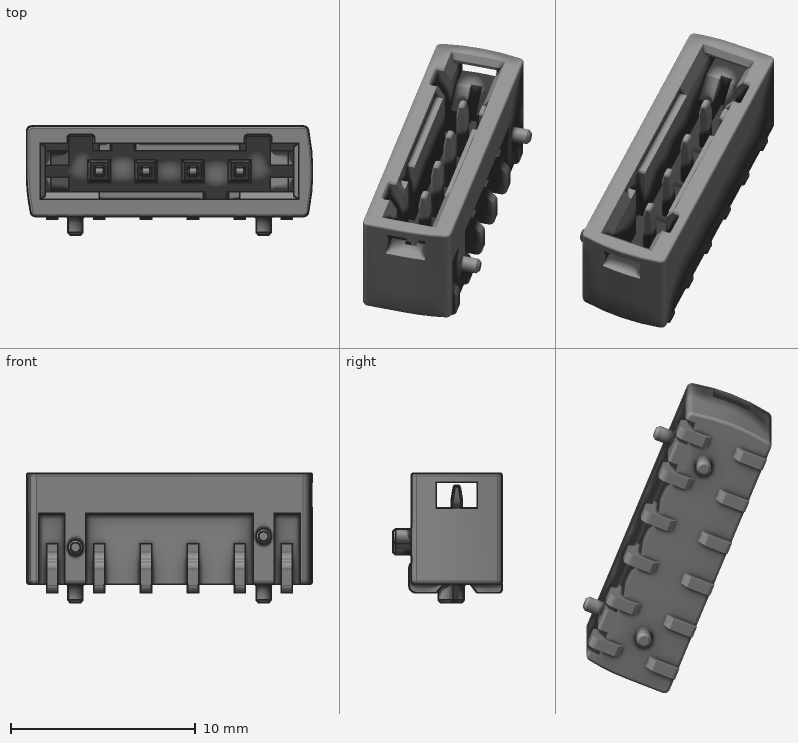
import cadquery as cq
import math


length = 15.46
depth = 4.9
height = 6.0
end_bulge = 0.26
corner_radius = 0.31
top_rim_radius = 0.12
bottom_rim_radius = 0.19
half_length = length / 2
half_depth = depth / 2

cavity_half_length = 6.71
cavity_half_width = 1.1
floor_z = 1.5
lead_in_side = 0.42
lead_in_side_depth = 0.68
lead_in_end = 0.28
lead_in_end_depth = 0.31
mouth_half_width = cavity_half_width + lead_in_side
shelf_z = height - 0.55
flare = 0.1

latch_x = 4.8
latch_width = 1.3
latch_reach = 1.9
slot_corner_radius = 0.11

key_x = 2.52
key_width = 1.2

window_bottom = 4.13
window_top = 5.5
guide_flat = 0.28
guide_inner_x = latch_x + latch_width / 2
guide_gap = 0.65
guide_slope_drop = 0.99

pitch = 2.54
pin_count = 4
tail_count = 6
contact_width = 0.6
pin_tip_z = 5.36
pin_shoulder_z = 5.25
pin_taper_z = 4.55
pin_tip_half_width = 0.19
pin_bevel = 0.1
collar_base = 1.24
collar_top = 0.91
collar_height = (collar_base - collar_top) / 2

tail_bottom = -0.46
tail_overhang = 0.14
tail_bend_radius = 0.53
tail_bend_angle = 45
tail_ramp_height = 0.19
tail_step_z = 0.83
tail_top = 2.2
tail_corner_radius = 0.4
tail_inner_y = 0.73
tail_toe_y = 1.1
back_tail_corner_radius = 0.2
embed = 0.15

recess_depth = 0.62
recess_top = 3.83
recess_fillet = 0.2
recess_half_length = 7.07
rib_x = 5.09
rib_width = 1.15

post_radius = 0.4
post_length = 1.0
post_chamfer_radial = 0.14
post_chamfer_axial = 0.15
post_root_radius = 0.11
post_offset = 0.6
low_side_post_z = 2.0


def box(x0, x1, y0, y1, z0, z1):
    return cq.Workplane("XY").box(x1 - x0, y1 - y0, z1 - z0, centered=False).translate((x0, y0, z0))


def extrude_along_x(profile, x0, x1):
    """Extrude a closed profile, drawn on the YZ plane, from x0 to x1."""
    return profile.extrude(x1 - x0).translate((x0, 0, 0))


def row(count):
    return [pitch * (i - (count - 1) / 2) for i in range(count)]


def make_housing():
    end_radius = (half_depth**2 + end_bulge**2) / (2 * end_bulge)
    corner_x = half_length - end_bulge
    mid_y = -half_depth / 2
    mid_x = half_length - end_radius + math.sqrt(end_radius**2 - mid_y**2)
    outline = (
        cq.Workplane("XY")
        .moveTo(-half_length, half_depth)
        .lineTo(-half_length, 0)
        .threePointArc((-mid_x, mid_y), (-corner_x, -half_depth))
        .lineTo(corner_x, -half_depth)
        .threePointArc((half_length, 0), (corner_x, half_depth))
        .close()
    )
    block = outline.extrude(height)
    block = block.faces("<Y or >Y").edges("|Z").fillet(corner_radius)
    block = block.faces(">Z").edges().fillet(top_rim_radius)
    return block.faces("<Z").edges().fillet(bottom_rim_radius)


def make_cavity():
    mouth_half_length = cavity_half_length + lead_in_end
    side_bottom_z = height - lead_in_side_depth
    side_profile = (
        cq.Workplane("YZ")
        .moveTo(-cavity_half_width, floor_z)
        .lineTo(-cavity_half_width, side_bottom_z)
        .lineTo(-mouth_half_width, height)
        .lineTo(mouth_half_width, height)
        .lineTo(cavity_half_width, side_bottom_z)
        .lineTo(cavity_half_width, floor_z)
        .close()
    )
    end_bottom_z = height - lead_in_end_depth
    end_profile = (
        cq.Workplane("XZ")
        .moveTo(-cavity_half_length, floor_z)
        .lineTo(-cavity_half_length, end_bottom_z)
        .lineTo(-mouth_half_length, height)
        .lineTo(mouth_half_length, height)
        .lineTo(cavity_half_length, end_bottom_z)
        .lineTo(cavity_half_length, floor_z)
        .close()
    )
    flared = extrude_along_x(side_profile, -mouth_half_length, mouth_half_length)
    flared = flared.intersect(end_profile.extrude(mouth_half_width, both=True))
    shelf_end = (pin_count - 1) * pitch / 2
    shelf_zone = box(-shelf_end, shelf_end, -half_depth, half_depth, floor_z, height)
    straight = box(-shelf_end, shelf_end, -cavity_half_width, cavity_half_width, floor_z, height)
    shelf = box(-shelf_end, shelf_end, -mouth_half_width, mouth_half_width, shelf_z, height)
    return flared.cut(shelf_zone).union(straight).union(shelf)


def make_slot(x, width, reach):
    """Vertical slot from Y = 0 to y = reach, open at the top, with rounded far corners."""
    return (
        cq.Workplane("XY", origin=(x, reach / 2, floor_z))
        .rect(width, abs(reach))
        .extrude(height - floor_z)
        .faces("<Y" if reach < 0 else ">Y")
        .edges("|Z")
        .fillet(slot_corner_radius)
    )


def make_latch_slot(x):
    """Latch slot whose mouth is bevelled only behind the sloped entry."""
    slot = make_slot(x, latch_width, latch_reach)
    mouth_outline = slot.faces(">Z").wires().val().translate(cq.Vector(0, 0, -flare))
    mouth = cq.Workplane("XY").add(mouth_outline).toPending().extrude(flare, taper=-45)
    behind_entry = box(x - latch_width, x + latch_width, mouth_half_width, half_depth, floor_z, height)
    return slot.union(mouth.intersect(behind_entry))


def make_key_slot(x, side):
    """Keying slot through a shelf, with both upper side edges bevelled."""
    reach = side * mouth_half_width
    slot = make_slot(x, key_width, reach)
    half_width = key_width / 2
    bevel = (
        cq.Workplane("XZ", origin=(x, 0, shelf_z))
        .moveTo(-half_width, -flare)
        .lineTo(-half_width - flare, 0)
        .lineTo(half_width + flare, 0)
        .lineTo(half_width, -flare)
        .close()
        .extrude(-reach)
    )
    return slot.union(bevel)


def make_windows():
    return box(-length, length, -cavity_half_width, cavity_half_width, window_bottom, window_top)


def make_guides():
    """Pairs of blocks at both cavity ends, flat at the window sill and sloping down toward the pins."""
    outer_x = cavity_half_length + embed
    flat_x = cavity_half_length - guide_flat
    block = (
        cq.Workplane("XZ")
        .moveTo(outer_x, floor_z - embed)
        .lineTo(outer_x, window_bottom)
        .lineTo(flat_x, window_bottom)
        .lineTo(guide_inner_x, window_bottom - guide_slope_drop)
        .lineTo(guide_inner_x, floor_z - embed)
        .close()
        .extrude(cavity_half_width, both=True)
    )
    gap = box(guide_inner_x, cavity_half_length, -guide_gap / 2, guide_gap / 2, floor_z, height)
    block = block.cut(gap)
    return block.union(block.mirror("YZ"))


def make_recess(x0, x1):
    back_y = -half_depth + recess_depth
    profile = (
        cq.Workplane("YZ")
        .moveTo(-half_depth - embed, 0)
        .lineTo(-half_depth - embed, recess_top)
        .lineTo(back_y - recess_fillet, recess_top)
        .radiusArc((back_y, recess_top - recess_fillet), recess_fillet)
        .lineTo(back_y, 0)
        .close()
    )
    return extrude_along_x(profile, x0, x1)


def make_pin(x):
    half_width = contact_width / 2
    profile = (
        cq.Workplane("YZ")
        .moveTo(-half_width, floor_z - embed)
        .lineTo(-half_width, pin_taper_z)
        .lineTo(-pin_tip_half_width, pin_shoulder_z)
        .threePointArc((0, pin_tip_z), (pin_tip_half_width, pin_shoulder_z))
        .lineTo(half_width, pin_taper_z)
        .lineTo(half_width, floor_z - embed)
        .close()
    )
    pin = extrude_along_x(profile, x - half_width, x + half_width).faces("<X or >X").chamfer(pin_bevel)
    collar = (
        cq.Workplane("XY", origin=(x, 0, floor_z))
        .rect(collar_base, collar_base)
        .workplane(offset=collar_height)
        .rect(collar_top, collar_top)
        .loft(ruled=True)
    )
    return pin.union(collar)


def make_front_tail(x):
    front_y = -half_depth - tail_overhang
    angle = math.radians(tail_bend_angle)
    bend_y = tail_bend_radius * (1 - math.cos(angle))
    bend_z = tail_bend_radius * math.sin(angle)
    half_bend_y = tail_bend_radius * (1 - math.cos(angle / 2))
    half_bend_z = tail_bend_radius * math.sin(angle / 2)
    ramp_y = tail_ramp_height * math.tan(angle)
    root_y = -half_depth + recess_depth + embed
    upper_y = front_y + 2 * bend_y + ramp_y
    upper_z = tail_step_z + 2 * bend_z + tail_ramp_height
    corner_inset = tail_corner_radius * (1 - math.sqrt(0.5))
    profile = (
        cq.Workplane("YZ")
        .moveTo(root_y, tail_top)
        .lineTo(upper_y, tail_top)
        .lineTo(upper_y, upper_z)
        .threePointArc((upper_y - half_bend_y, upper_z - half_bend_z), (upper_y - bend_y, upper_z - bend_z))
        .lineTo(front_y + bend_y, tail_step_z + bend_z)
        .threePointArc((front_y + half_bend_y, tail_step_z + half_bend_z), (front_y, tail_step_z))
        .lineTo(front_y, tail_bottom + tail_corner_radius)
        .threePointArc(
            (front_y + corner_inset, tail_bottom + corner_inset),
            (front_y + tail_corner_radius, tail_bottom),
        )
        .lineTo(-tail_toe_y, tail_bottom)
        .lineTo(-tail_inner_y, 0)
        .lineTo(-tail_inner_y, embed)
        .lineTo(root_y, embed)
        .close()
    )
    return extrude_along_x(profile, x - contact_width / 2, x + contact_width / 2)


def make_back_tail(x):
    back_y = half_depth
    corner_inset = back_tail_corner_radius * (1 - math.sqrt(0.5))
    profile = (
        cq.Workplane("YZ")
        .moveTo(tail_inner_y, embed)
        .lineTo(tail_inner_y, 0)
        .lineTo(tail_toe_y, tail_bottom)
        .lineTo(back_y - back_tail_corner_radius, tail_bottom)
        .threePointArc(
            (back_y - corner_inset, tail_bottom + corner_inset),
            (back_y, tail_bottom + back_tail_corner_radius),
        )
        .lineTo(back_y, 0)
        .lineTo(back_y - bottom_rim_radius, embed)
        .close()
    )
    return extrude_along_x(profile, x - contact_width / 2, x + contact_width / 2)


def make_post():
    """Post along +Z from Z = 0, with a filleted root and a tapered tip."""
    tip_radius = post_radius - post_chamfer_radial
    root_arc_offset = post_root_radius * (1 - math.sqrt(0.5))
    profile = (
        cq.Workplane("XZ")
        .moveTo(0, -embed)
        .lineTo(post_radius + post_root_radius, -embed)
        .lineTo(post_radius + post_root_radius, 0)
        .threePointArc((post_radius + root_arc_offset, root_arc_offset), (post_radius, post_root_radius))
        .lineTo(post_radius, post_length - post_chamfer_axial)
        .lineTo(tip_radius, post_length)
        .lineTo(0, post_length)
        .close()
    )
    return profile.revolve(360, (0, 0, 0), (0, 1, 0))


housing = make_housing()
housing = housing.cut(make_cavity())
for x in (-latch_x, latch_x):
    housing = housing.cut(make_latch_slot(x))
housing = housing.cut(make_key_slot(-key_x, 1))
housing = housing.cut(make_key_slot(key_x, -1))
housing = housing.union(make_guides())
housing = housing.cut(make_windows())

rib_inner_x = rib_x - rib_width / 2
rib_outer_x = rib_x + rib_width / 2
for x0, x1 in (
    (-recess_half_length, -rib_outer_x),
    (-rib_inner_x, rib_inner_x),
    (rib_outer_x, recess_half_length),
):
    housing = housing.cut(make_recess(x0, x1))

for x in row(pin_count):
    housing = housing.union(make_pin(x))

for x in row(tail_count):
    housing = housing.union(make_front_tail(x))
    housing = housing.union(make_back_tail(x))

post = make_post()
bottom_post = post.rotate((0, 0, 0), (1, 0, 0), 180)
front_post = post.rotate((0, 0, 0), (1, 0, 0), 90)
housing = housing.union(bottom_post.translate((-rib_x, 0, 0)))
housing = housing.union(bottom_post.translate((rib_x, -post_offset, 0)))
housing = housing.union(front_post.translate((-rib_x, -half_depth, low_side_post_z)))
housing = housing.union(front_post.translate((rib_x, -half_depth, low_side_post_z + post_offset)))

result = housing